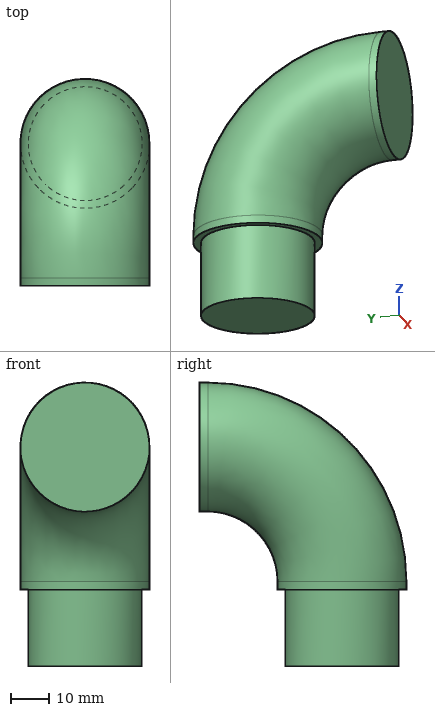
import cadquery as cq

body_diameter = 33.7
spigot_diameter = 29.7
spigot_length = 20.0
bend_radius = 35.0
bend_angle = 90.0
overall_height = 74.0

collar_length = overall_height - spigot_length - bend_radius - body_diameter / 2

bend_start_z = spigot_length + collar_length
outlet_axis_z = bend_start_z + bend_radius


def make_spigot():
    """Reduced vertical plug at the lower end, standing on Z = 0."""
    return cq.Workplane("XY").circle(spigot_diameter / 2).extrude(spigot_length)


def make_elbow():
    """Full-diameter body: lower collar, 90 degree bend toward -Y, outlet collar."""
    lower_collar = (
        cq.Workplane("XY", origin=(0, 0, spigot_length))
        .circle(body_diameter / 2)
        .extrude(collar_length)
    )
    bend = (
        cq.Workplane("XY", origin=(0, 0, bend_start_z))
        .circle(body_diameter / 2)
        .revolve(bend_angle, (0, -bend_radius, 0), (1, -bend_radius, 0))
    )
    outlet_collar = (
        cq.Workplane("XZ", origin=(0, -bend_radius, outlet_axis_z))
        .circle(body_diameter / 2)
        .extrude(collar_length)
    )
    return lower_collar.union(bend).union(outlet_collar)


result = make_elbow().union(make_spigot())